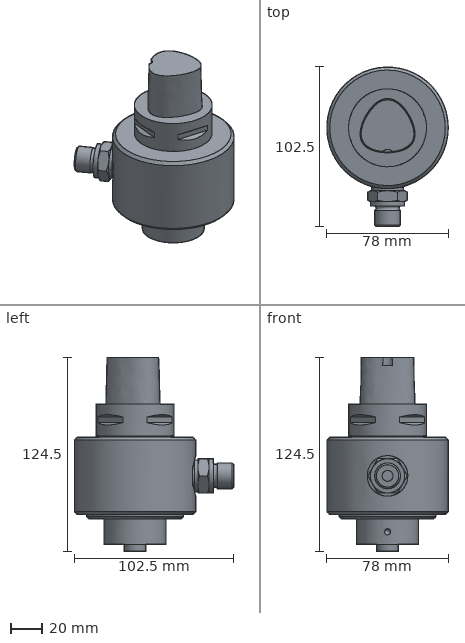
import cadquery as cq
import math

pin_top = 4.5
hub_top = 20.8
flange_top = 23.5
body_top = 73.3
neck_top = 74.1
collar_top = 94.5
shank_top = 124.5

pin_diameter = 14.0
hub_diameter = 40.0
flange_diameter = 62.2
body_diameter = 78.0
neck_diameter = 46.0
collar_diameter = 50.0
flange_chamfer = 1.5
body_chamfer = 2.0

lobe_height = 1.4
shank_base_radius = 17.4
shank_top_radius = 16.7
shank_outline_points = 36
key_radius = 4.0
key_depth = 5.4
key_inner_reach = 13.8

slot_count = 4
slot_floor_radius = 22.3
slot_height = 84.4
slot_floor_width = 3.5
slot_flank_angle = 30.0

dimple_diameter = 4.0
dimple_height = 12.6

fitting_height = (flange_top + body_top) / 2
spotface_diameter = 26.0
spotface_reach = 36.7
seat_diameter = 20.0
seat_reach = 38.2
washer_diameter = 20.5
hex_start = 40.3
hex_end = 47.4
hex_flats = 22.0
shoulder_end = 50.3
relief_diameter = 14.8
thread_start = 52.9
thread_diameter = 16.5
thread_end = 102.5 - body_diameter / 2
thread_chamfer = 1.1
bore_diameter = 7.0
bore_depth = 12.5
hex_chamfer_angle = 30.0


def disc(diameter, bottom, top):
    return cq.Workplane("XY").workplane(offset=bottom).circle(diameter / 2).extrude(top - bottom)


def fitting_plane(reach):
    return cq.Workplane("XZ", origin=(0, -reach, fitting_height))


def fitting_disc(diameter, start, end):
    return fitting_plane(start).circle(diameter / 2).extrude(end - start)


def make_stack():
    flange = disc(flange_diameter, hub_top, flange_top).faces("<Z").chamfer(flange_chamfer)
    body = disc(body_diameter, flange_top, body_top).faces("<Z or >Z").chamfer(body_chamfer)
    stack = disc(pin_diameter, 0, pin_top).union(disc(hub_diameter, pin_top, hub_top))
    stack = stack.union(flange).union(body)
    stack = stack.union(disc(neck_diameter, body_top, neck_top))
    return stack.union(disc(collar_diameter, neck_top, collar_top))


def shank_outline(mean_radius):
    """Points of a hypotrochoid with one of its three lobes toward +Y."""
    points = []
    for index in range(shank_outline_points):
        angle = 2 * math.pi * index / shank_outline_points
        x = -mean_radius * math.sin(angle) + lobe_height * math.sin(2 * angle)
        y = mean_radius * math.cos(angle) + lobe_height * math.cos(2 * angle)
        points.append((x, y))
    return points


def make_shank():
    base = cq.Workplane("XY").workplane(offset=collar_top)
    base = base.spline(shank_outline(shank_base_radius), periodic=True).close()
    top = base.workplane(offset=shank_top - collar_top)
    top = top.spline(shank_outline(shank_top_radius), periodic=True).close()
    shank = top.loft(ruled=True)
    key = disc(2 * key_radius, shank_top - key_depth, shank_top)
    return shank.cut(key.translate((0, -key_inner_reach - key_radius, 0)))


def make_collar_slot():
    """Straight slot with a flat floor and flared flanks, cut across the +X side."""
    outer_radius = collar_diameter / 2
    floor_half = slot_floor_width / 2
    flare = (outer_radius - slot_floor_radius) * math.tan(math.radians(slot_flank_angle))
    mouth_half = floor_half + flare
    profile = [
        (slot_floor_radius, slot_height - floor_half),
        (outer_radius, slot_height - mouth_half),
        (outer_radius, slot_height + mouth_half),
        (slot_floor_radius, slot_height + floor_half),
    ]
    return cq.Workplane("XZ").polyline(profile).close().extrude(collar_diameter / 2, both=True)


def make_dimple():
    """Right-angled cone with its base on the front of the hub."""
    radius = dimple_diameter / 2
    cone = cq.Solid.makeCone(
        radius, 0, radius, cq.Vector(0, -hub_diameter / 2, dimple_height), cq.Vector(0, 1, 0)
    )
    return cq.Workplane(cone)


def make_hex():
    """Hexagon nut with a corner on +X and both ends turned to a cone."""
    length = hex_end - hex_start
    corner_diameter = hex_flats / math.cos(math.pi / 6)
    corner_overhang = (corner_diameter - hex_flats) / 2
    chamfer_length = corner_overhang * math.tan(math.radians(hex_chamfer_angle))
    prism = fitting_plane(hex_start).polygon(6, corner_diameter).extrude(length)
    profile = [
        (0, 0),
        (hex_flats / 2, 0),
        (corner_diameter / 2, chamfer_length),
        (corner_diameter / 2, length - chamfer_length),
        (hex_flats / 2, length),
        (0, length),
    ]
    turned = cq.Workplane("XY").polyline(profile).close().revolve(360, (0, 0), (0, 1))
    return prism.intersect(turned.translate((0, -hex_end, fitting_height)))


def make_thread_relief():
    """Waist with a rounded groove between the shoulder and the thread."""
    length = thread_start - shoulder_end
    waist = (
        cq.Workplane("XY")
        .lineTo(thread_diameter / 2, 0)
        .threePointArc((relief_diameter / 2, length / 2), (thread_diameter / 2, length))
        .lineTo(0, length)
        .close()
        .revolve(360, (0, 0), (0, 1))
    )
    return waist.translate((0, -thread_start, fitting_height))


def make_fitting():
    thread = fitting_disc(thread_diameter, thread_start, thread_end).faces("<Y").chamfer(thread_chamfer)
    fitting = fitting_disc(seat_diameter, spotface_reach, seat_reach)
    fitting = fitting.union(fitting_disc(washer_diameter, seat_reach, hex_start))
    fitting = fitting.union(make_hex())
    fitting = fitting.union(fitting_disc(hex_flats, hex_end, shoulder_end))
    fitting = fitting.union(make_thread_relief())
    fitting = fitting.union(thread)
    return fitting.cut(fitting_disc(bore_diameter, thread_end - bore_depth, thread_end))


result = make_stack().union(make_shank())
for slot_index in range(slot_count):
    slot_angle = (slot_index + 0.5) * 360 / slot_count
    result = result.cut(make_collar_slot().rotate((0, 0, 0), (0, 0, 1), slot_angle))
result = result.cut(make_dimple())
result = result.cut(fitting_disc(spotface_diameter, spotface_reach, body_diameter / 2))
result = result.union(make_fitting())